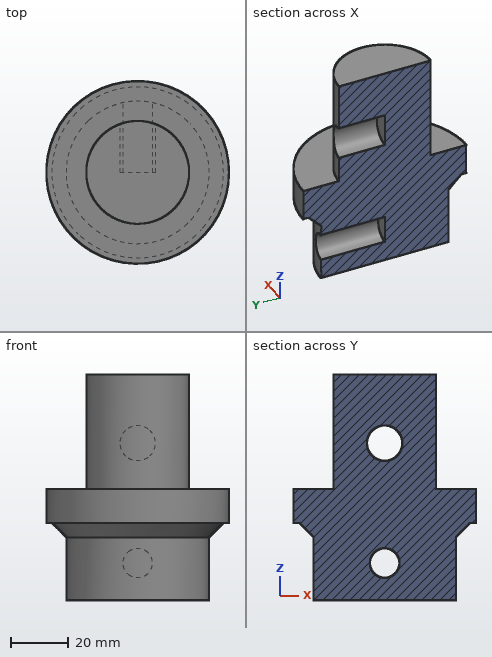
import cadquery as cq

height = 79.0
base_radius = 50.0 / 2
flange_radius = 64.0 / 2
shaft_radius = 36.0 / 2

flange_bottom = 27.0
flange_top = 39.0

cone_size = 5.0
cone_bottom = flange_bottom - cone_size
cone_top_radius = base_radius + cone_size

base_hole_diameter = 10.3
base_hole_height = 13.0
shaft_hole_diameter = 12.3
shaft_hole_height = 55.0


def stepped_body():
    """Revolve the half section around Z."""
    half_section = [
        (0, 0),
        (base_radius, 0),
        (base_radius, cone_bottom),
        (cone_top_radius, flange_bottom),
        (flange_radius, flange_bottom),
        (flange_radius, flange_top),
        (shaft_radius, flange_top),
        (shaft_radius, height),
        (0, height),
    ]
    return cq.Workplane("XZ").polyline(half_section).close().revolve(360, (0, 0), (0, 1))


def radial_hole(diameter, hole_height):
    """Cylinder running from the axis out past the +Y side."""
    return cq.Workplane("XZ").center(0, hole_height).circle(diameter / 2).extrude(-flange_radius)


result = (
    stepped_body()
    .cut(radial_hole(base_hole_diameter, base_hole_height))
    .cut(radial_hole(shaft_hole_diameter, shaft_hole_height))
)